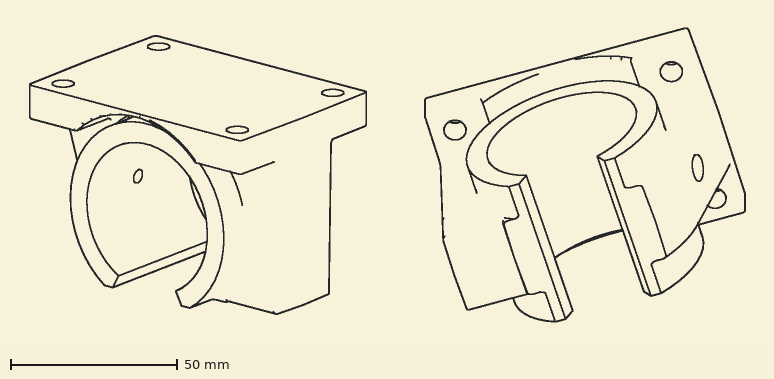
import cadquery as cq
import math

PLATE_LENGTH = 84.0
PLATE_WIDTH = 60.0
PLATE_THICKNESS = 11.0
HEIGHT = 60.0
DRAFT = 1.0
EDGE_RADIUS = 1.0

HOLE_DIAMETER = 6.6
HOLE_SPACING_X = 68.0
HOLE_SPACING_Y = 45.0

AXIS_DEPTH = 35.0
BORE_RADIUS = 23.5
TUBE_RADIUS = 30.0
TUBE_LENGTH = 48.0
MOUTH_HALF_ANGLE = 28.3

WEB_WIDTH = 26.0
WEB_RADIUS = 33.3
ARCH_RADIUS = 33.5

SIDE_HOLE_DEPTH = 33.0
SIDE_HOLE_DIAMETER = 4.2
COUNTERBORE_DIAMETER = 8.0
COUNTERBORE_FLOOR_X = -28.55

TOLERANCE = 0.01

half_length = PLATE_LENGTH / 2
half_width = PLATE_WIDTH / 2
half_web = WEB_WIDTH / 2
half_tube = TUBE_LENGTH / 2
fillet_depth = PLATE_THICKNESS + EDGE_RADIUS
draft_slope = math.tan(math.radians(DRAFT))


def cylinder_y(radius, y_start, y_end):
    """Cylinder on the clip axis between two Y positions."""
    base = cq.Workplane("XZ", origin=(0, y_start, -AXIS_DEPTH))
    return base.circle(radius).extrude(y_start - y_end)


def make_half_plate():
    """-Y half of the plate, with drafted ends and the arched relief beside the web."""
    end_x = half_length - half_width * draft_slope
    corners = [
        (-half_length, 0),
        (-end_x, -half_width),
        (end_x, -half_width),
        (half_length, 0),
    ]
    plate = cq.Workplane("XY").polyline(corners).close().extrude(-PLATE_THICKNESS)
    return plate.cut(cylinder_y(ARCH_RADIUS, -half_web, -PLATE_WIDTH))


def web_section(y, inset):
    """Closed web outline at one Y position, its faces moved inward by the inset."""
    end_x = half_length - inset
    radius = WEB_RADIUS - inset
    bottom_z = inset - HEIGHT
    top_z = -PLATE_THICKNESS / 2
    foot_x = end_x - (HEIGHT - PLATE_THICKNESS) * draft_slope
    arc_end_x = math.sqrt(radius**2 - (bottom_z + AXIS_DEPTH) ** 2)

    slope_rise = AXIS_DEPTH - fillet_depth
    start_angle = math.pi - math.atan2(slope_rise, end_x)
    tangent_angle = start_angle + math.acos(radius / math.hypot(end_x, slope_rise))
    tangent_x = radius * math.cos(tangent_angle)
    tangent_z = radius * math.sin(tangent_angle) - AXIS_DEPTH

    outline = (
        cq.Workplane("XZ", origin=(0, y, 0))
        .moveTo(-end_x, top_z)
        .lineTo(-end_x, -fillet_depth)
        .lineTo(tangent_x, tangent_z)
        .threePointArc((0, -AXIS_DEPTH - radius), (arc_end_x, bottom_z))
        .lineTo(foot_x, bottom_z)
        .lineTo(end_x, -PLATE_THICKNESS)
        .lineTo(end_x, top_z)
        .close()
    )
    return outline.val()


def make_half_web():
    """-Y half of the web, drafted away from the mid plane."""
    middle = web_section(0, 0)
    side = web_section(-half_web, half_web * draft_slope)
    return cq.Workplane(cq.Solid.makeLoft([middle, side], True))


def is_inner_corner(edge):
    """True for the edges where the plate meets the side face of the web."""
    box = edge.BoundingBox()
    on_side = abs(box.ymin + half_web) < TOLERANCE and box.ylen < TOLERANCE
    return on_side and box.zmin > -PLATE_THICKNESS - TOLERANCE


def is_outer_rim(edge):
    """True for the rims of the web side, the plate ends and the plate side."""
    center = edge.Center()
    beside_web = center.y < TOLERANCE - half_web
    on_web = center.z < -fillet_depth - TOLERANCE
    on_end = abs(center.x) > half_length - EDGE_RADIUS and center.z < TOLERANCE - PLATE_THICKNESS
    on_plate_side = center.y < TOLERANCE - half_width and center.z < -TOLERANCE
    return beside_web and (on_web or on_end or on_plate_side)


def is_tube_root(edge):
    """True for the circle where the clip leaves the side face of the web."""
    box = edge.BoundingBox()
    on_side = abs(box.ymin + half_web) < TOLERANCE and box.ylen < TOLERANCE
    return on_side and edge.geomType() == "CIRCLE" and abs(edge.radius() - TUBE_RADIUS) < TOLERANCE


def fillet_where(body, condition):
    """Round the edges of the body that meet the condition."""
    edges = [edge for edge in body.edges().vals() if condition(edge)]
    return body.newObject(edges).fillet(EDGE_RADIUS)


def make_mouth():
    """Wedge with radial flanks that opens the clip downwards."""
    reach = 2 * HEIGHT
    half_mouth = reach * math.tan(math.radians(MOUTH_HALF_ANGLE))
    wedge = (
        cq.Workplane("XZ", origin=(0, 0, -AXIS_DEPTH))
        .polyline([(0, 0), (half_mouth, -reach), (-half_mouth, -reach)])
        .close()
    )
    return wedge.extrude(TUBE_LENGTH, both=True)


def make_side_hole():
    """Stepped cutter that enters the sloping face along +X and ends in the bore."""
    entry = cq.Workplane("YZ", origin=(-half_length, 0, -SIDE_HOLE_DEPTH))
    through = entry.circle(SIDE_HOLE_DIAMETER / 2).extrude(half_length)
    counterbore = entry.circle(COUNTERBORE_DIAMETER / 2).extrude(COUNTERBORE_FLOOR_X + half_length)
    return through.union(counterbore)


def make_screw_holes():
    """Four through holes near the plate corners."""
    centers = cq.Workplane("XY").rarray(HOLE_SPACING_X, HOLE_SPACING_Y, 2, 2)
    return centers.circle(HOLE_DIAMETER / 2).extrude(-2 * PLATE_THICKNESS)


half = make_half_plate().union(make_half_web())
half = fillet_where(half, is_inner_corner)
half = fillet_where(half, is_outer_rim)

half = half.union(cylinder_y(TUBE_RADIUS, 0, -half_tube))
half = fillet_where(half, is_tube_root)

body = half.union(half.mirror("XZ"))

body = body.cut(cylinder_y(BORE_RADIUS, -half_width, half_width))
body = body.cut(make_mouth())
body = body.cut(make_side_hole())
body = body.cut(make_screw_holes())

envelope = cq.Workplane("XY").rect(2 * PLATE_LENGTH, 2 * PLATE_WIDTH).extrude(-HEIGHT)
result = body.intersect(envelope)